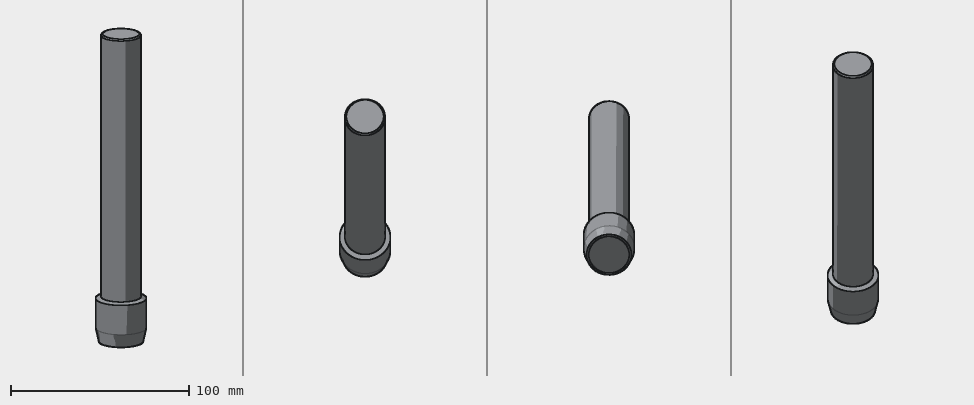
import cadquery as cq

total_length = 180.0

pin_diameter = 22.7
pin_chamfer = 0.9

sleeve_diameter = 28.6
sleeve_height = 26.3
sleeve_cone_height = 1.0
taper_height = 8.1
foot_diameter = 25.2


def make_pin():
    rod = cq.Workplane("XY").circle(pin_diameter / 2).extrude(total_length)
    return rod.faces(">Z").chamfer(pin_chamfer)


def make_sleeve():
    outer_radius = sleeve_diameter / 2
    bore_radius = pin_diameter / 2
    profile = (
        cq.Workplane("XZ")
        .moveTo(bore_radius, 0)
        .lineTo(foot_diameter / 2, 0)
        .lineTo(outer_radius, taper_height)
        .lineTo(outer_radius, sleeve_height - sleeve_cone_height)
        .lineTo(bore_radius, sleeve_height)
        .close()
    )
    return profile.revolve(360, (0, 0, 0), (0, 1, 0))


pin = make_pin()
sleeve = make_sleeve()

result = cq.Compound.makeCompound([pin.val(), sleeve.val()])